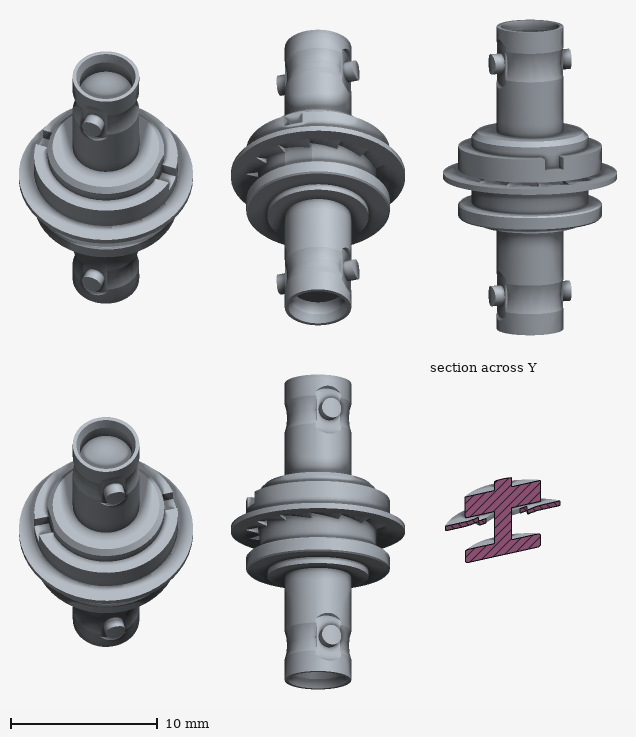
import cadquery as cq
import math


HALF_LENGTH = 10.52
BARREL_R = 2.27

PIN_Z = 8.06
PIN_R = 0.7
PIN_REACH = 2.85
GROOVE_HALF_WIDTH = 0.99
GROOVE_DEPTH = 0.17

SEAT_Y = 2.08
SEAT_R = 1.55
SEAT_MOUTH_R = 1.7
SEAT_PAD_WIDTH = 1.7

SOCKET_MOUTH_R = 2.02
SOCKET_R = 1.79
SOCKET_TAPER_DEPTH = 0.59
SOCKET_DEPTH = 1.55

BODY_R = 3.98
BODY_TOP_Z = 3.22
BODY_CHAMFER = 0.34
BODY_FLAT_X = 3.85

NUT_R = 4.9
NUT_BOTTOM_Z = 0.6
NUT_TOP_Z = 2.2
SLOT_WIDTH = 1.35
SLOT_DEPTH = 0.82

FLANGE_R = NUT_R
FLANGE_TOP_Z = -1.75
FLANGE_BOTTOM_Z = -2.75
FLANGE_CHAMFER = 0.1
STEP_R = 3.45
STEP_BOTTOM_Z = -3.2

WASHER_DIAMETER = 11.9
WASHER_R = WASHER_DIAMETER / 2
WASHER_BOTTOM_Z = -0.02
WASHER_THICKNESS = 0.38
TOOTH_ROOT_R = 4.97
TOOTH_TIP_R = 4.13
TOOTH_RISE = 0.19
TOOTH_COUNT = 14
FIRST_TOOTH_ANGLE = -90.0


def cylinder(radius, bottom_z, top_z):
    return cq.Workplane("XY").workplane(offset=bottom_z).circle(radius).extrude(top_z - bottom_z)


def block(size_x, size_y, bottom_z, top_z):
    return cq.Workplane("XY").workplane(offset=bottom_z).rect(size_x, size_y).extrude(top_z - bottom_z)


def grooved_barrel():
    groove_bottom = PIN_Z - GROOVE_HALF_WIDTH
    groove_top = PIN_Z + GROOVE_HALF_WIDTH
    return (
        cq.Workplane("XZ")
        .lineTo(0, HALF_LENGTH)
        .lineTo(BARREL_R, HALF_LENGTH)
        .lineTo(BARREL_R, groove_top)
        .threePointArc((BARREL_R - GROOVE_DEPTH, PIN_Z), (BARREL_R, groove_bottom))
        .lineTo(BARREL_R, 0)
        .close()
        .revolve(360, (0, 0, 0), (0, 1, 0))
    )


def seat_cutter(side):
    """Cone about the pin axis, flaring outward from the flat; side is +1 or -1 along Y."""
    cone = cq.Solid.makeCone(
        SEAT_R,
        SEAT_MOUTH_R,
        BARREL_R - SEAT_Y,
        pnt=cq.Vector(0, side * SEAT_Y, PIN_Z),
        dir=cq.Vector(0, side, 0),
    )
    return cq.Workplane(cone)


def pin_pair():
    """Cross bar through the axis, its ends rounded to a cylinder about Z."""
    bar = cq.Workplane("XZ").center(0, PIN_Z).circle(PIN_R).extrude(BODY_R, both=True)
    return bar.intersect(cylinder(PIN_REACH, PIN_Z - PIN_R, PIN_Z + PIN_R))


def socket_cutter():
    return (
        cq.Workplane("XZ")
        .moveTo(0, HALF_LENGTH)
        .lineTo(SOCKET_MOUTH_R, HALF_LENGTH)
        .lineTo(SOCKET_R, HALF_LENGTH - SOCKET_TAPER_DEPTH)
        .lineTo(SOCKET_R, HALF_LENGTH - SOCKET_DEPTH)
        .lineTo(0, HALF_LENGTH - SOCKET_DEPTH)
        .close()
        .revolve(360, (0, 0, 0), (0, 1, 0))
    )


def bayonet_end():
    """Upper barrel from mid-height up, with its groove, seats, pins and socket."""
    seat_pad = block(
        SEAT_PAD_WIDTH, 2 * SEAT_Y, PIN_Z - GROOVE_HALF_WIDTH, PIN_Z + GROOVE_HALF_WIDTH
    )
    end = grooved_barrel().union(seat_pad)
    for side in (1, -1):
        end = end.cut(seat_cutter(side))
    return end.union(pin_pair()).cut(socket_cutter())


def threaded_body():
    body = cylinder(BODY_R, FLANGE_TOP_Z, BODY_TOP_Z).faces(">Z").chamfer(BODY_CHAMFER)
    beyond_flat = block(BODY_R, 2 * BODY_R, FLANGE_TOP_Z, BODY_TOP_Z)
    return body.cut(beyond_flat.translate((BODY_FLAT_X + BODY_R / 2, 0, 0)))


def slotted_nut():
    nut = cylinder(NUT_R, NUT_BOTTOM_Z, NUT_TOP_Z)
    return nut.cut(block(2 * NUT_R, SLOT_WIDTH, NUT_TOP_Z - SLOT_DEPTH, NUT_TOP_Z))


def lower_flange():
    flange = cylinder(FLANGE_R, FLANGE_BOTTOM_Z, FLANGE_TOP_Z).edges().chamfer(FLANGE_CHAMFER)
    return flange.union(cylinder(STEP_R, STEP_BOTTOM_Z, FLANGE_BOTTOM_Z))


def make_connector():
    upper_end = bayonet_end()
    lower_end = upper_end.mirror("XY")
    return (
        threaded_body()
        .union(slotted_nut())
        .union(lower_flange())
        .union(upper_end)
        .union(lower_end)
    )


def tooth_arc(radius, z, rise):
    """Arc over one tooth pitch, starting at z + rise and ending at z - rise."""
    pitch = 2 * math.pi / TOOTH_COUNT

    def point(angle, height):
        return cq.Vector(radius * math.cos(angle), radius * math.sin(angle), height)

    return cq.Edge.makeThreePointArc(point(0, z + rise), point(pitch / 2, z), point(pitch, z - rise))


def twisted_tooth():
    """Blade that is level at its root circle and tilted at its tip."""
    top_z = WASHER_BOTTOM_Z + WASHER_THICKNESS
    root_bottom = tooth_arc(TOOTH_ROOT_R, WASHER_BOTTOM_Z, 0)
    root_top = tooth_arc(TOOTH_ROOT_R, top_z, 0)
    tip_bottom = tooth_arc(TOOTH_TIP_R, WASHER_BOTTOM_Z, TOOTH_RISE)
    tip_top = tooth_arc(TOOTH_TIP_R, top_z, TOOTH_RISE)
    loop = [root_bottom, root_top, tip_top, tip_bottom]
    walls = [cq.Face.makeRuledSurface(loop[i - 1], loop[i]) for i in range(len(loop))]
    ends = [
        cq.Face.makeFromWires(cq.Wire.makePolygon([place(edge) for edge in loop], close=True))
        for place in (cq.Edge.startPoint, cq.Edge.endPoint)
    ]
    return cq.Solid.makeSolid(cq.Shell.makeShell(walls + ends))


def make_lock_washer():
    washer = (
        cq.Workplane("XY")
        .workplane(offset=WASHER_BOTTOM_Z)
        .circle(WASHER_R)
        .circle(TOOTH_ROOT_R)
        .extrude(WASHER_THICKNESS)
    )
    tooth = twisted_tooth()
    for index in range(TOOTH_COUNT):
        angle = FIRST_TOOTH_ANGLE + index * 360 / TOOTH_COUNT
        washer = washer.union(cq.Workplane(tooth.rotate((0, 0, 0), (0, 0, 1), angle)))
    return washer


connector = make_connector()
lock_washer = make_lock_washer()

result = cq.Compound.makeCompound([connector.solids().val(), lock_washer.solids().val()])